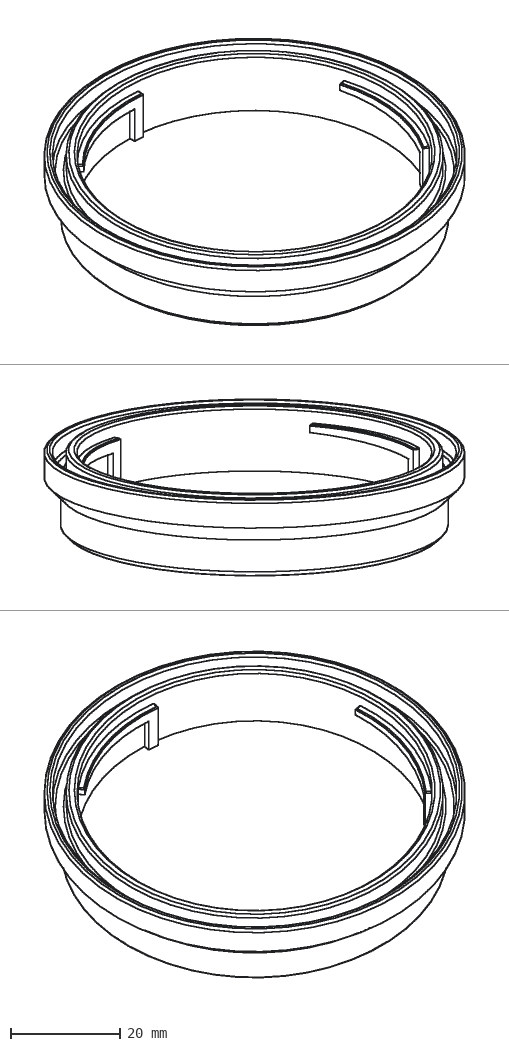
import cadquery as cq
import math

height = 15.2
flange_radius = 38.5
body_radius = 35.5
flange_height = 5.15
bottom_chamfer = 1.0
edge_chamfer = 0.5

bore_radius = 32.5
floor_thickness = 3.0
groove_inner_radius = 34.5
groove_outer_radius = 74.0 / 2
groove_depth = 4.0

rib_count = 3
first_post_angle = 57.2
rib_sweep = 49.5
post_sweep = 4.0
rib_projection = 1.2
rib_top = 12.5
arm_height_at_post = 2.55
arm_height_at_tip = 1.5
rib_chamfer = 0.2

flange_bottom = height - flange_height
cone_bottom = flange_bottom - (flange_radius - body_radius)
groove_floor = height - groove_depth

overlap = 0.4


def make_cup():
    """Revolve the half section of the cup, groove included, about Z."""
    edge_z = height - edge_chamfer
    groove_edge_z = groove_floor + edge_chamfer
    section = [
        (0, 0),
        (body_radius - bottom_chamfer, 0),
        (body_radius, bottom_chamfer),
        (body_radius, cone_bottom),
        (flange_radius, flange_bottom),
        (flange_radius, edge_z),
        (flange_radius - edge_chamfer, height),
        (groove_outer_radius + edge_chamfer, height),
        (groove_outer_radius, edge_z),
        (groove_outer_radius, groove_edge_z),
        (groove_outer_radius - edge_chamfer, groove_floor),
        (groove_inner_radius + edge_chamfer, groove_floor),
        (groove_inner_radius, groove_edge_z),
        (groove_inner_radius, edge_z),
        (groove_inner_radius - edge_chamfer, height),
        (bore_radius + edge_chamfer, height),
        (bore_radius, edge_z),
        (bore_radius, floor_thickness),
        (0, floor_thickness),
    ]
    return cq.Workplane("XZ").polyline(section).close().revolve(360, (0, 0, 0), (0, 1, 0))


def wall_sector(sweep, bottom):
    """Strip of wall lining from angle 0 up to rib_top, rooted slightly inside the bore wall."""
    inner_radius = bore_radius - rib_projection
    outer_radius = bore_radius + overlap
    return (
        cq.Workplane("XZ")
        .moveTo(inner_radius, bottom)
        .lineTo(outer_radius, bottom)
        .lineTo(outer_radius, rib_top)
        .lineTo(inner_radius, rib_top)
        .close()
        .revolve(sweep, (0, 0, 0), (0, 1, 0))
    )


def make_rib():
    """L-shaped rib from angle 0: a post on the floor and an arm that thins towards its tip."""
    arm_rise = arm_height_at_post - arm_height_at_tip
    half_sweep = rib_sweep / 2
    half_chord = bore_radius * math.sin(math.radians(half_sweep))
    slope = arm_rise / (2 * half_chord)
    cut_start = -half_chord - overlap
    cut_end = half_chord + overlap
    below_arm = (
        cq.Workplane("YZ")
        .moveTo(cut_start, 0)
        .lineTo(cut_end, 0)
        .lineTo(cut_end, rib_top - arm_height_at_tip + slope * overlap)
        .lineTo(cut_start, rib_top - arm_height_at_post - slope * overlap)
        .close()
        .extrude(flange_radius)
        .rotate((0, 0, 0), (0, 0, 1), half_sweep)
    )
    arm = wall_sector(rib_sweep, floor_thickness).cut(below_arm)
    post = wall_sector(post_sweep, floor_thickness - overlap)
    return arm.union(post).faces(">Z").edges().chamfer(rib_chamfer)


result = make_cup()
rib = make_rib()
for index in range(rib_count):
    rib_angle = first_post_angle + index * 360 / rib_count
    result = result.union(rib.rotate((0, 0, 0), (0, 0, 1), rib_angle))